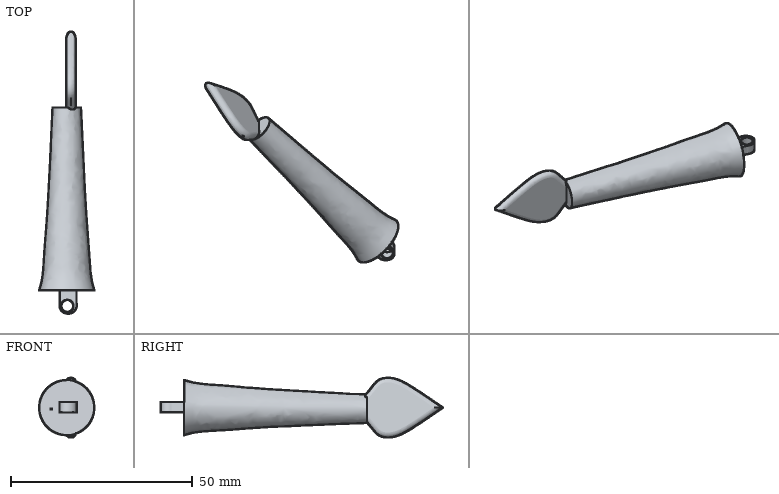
import cadquery as cq
import math

handle_length = 50.45
base_radius = 7.6
neck_radius = 4.0
neck_drop = 0.3
flare_points = [(7.0, 2.3), (6.3, 9.35), (5.6, 18.7), (4.9, 30.4)]

blade_thickness = 2.7
blade_offset_x = 1.2
blade_edge_land = 0.015
blade_edge_radius = (blade_thickness - blade_edge_land) / 2
blade_tip_y = 71.4
blade_peak_y = 55.75
blade_half_height = 8.25
blade_root_y = 49.9
blade_root_half_height = 3.5
blade_front_points = [(68.0, 2.3), (63.3, 5.45)]
blade_shoulder_points = [(54.0, 7.8), (52.1, 6.1)]

lug_length = 6.5
lug_neck_width = 4.7
lug_end_radius = 2.4
lug_thickness = 2.9
lug_x = 0.4
lug_z = 0.15
lug_overlap = 0.8
eye_diameter = 3.3
eye_x = 0.15
eye_y = -4.3

pinhole_diameter = 0.4
pinhole_depth = 0.4
pinhole_x = -4.3
pinhole_z = -0.4


def make_handle():
    """Revolve the flared half profile about Y, then lean it towards -Z."""
    lean_angle = math.degrees(math.atan2(neck_drop, handle_length))
    upright = (
        cq.Workplane("XY")
        .lineTo(base_radius, 0)
        .spline(flare_points + [(neck_radius, handle_length)], includeCurrent=True)
        .lineTo(0, handle_length)
        .close()
        .revolve(360, (0, 0), (0, 1))
    )
    return upright.rotate((0, 0, 0), (1, 0, 0), -lean_angle)


def mirrored(points):
    """Reflect (y, z) points to negative z, in reverse order along the outline."""
    return [(y, -z) for y, z in reversed(points)]


def make_blade():
    """Extrude the leaf outline across X and round both faces' edges."""
    tip = (blade_tip_y, 0)
    peak = (blade_peak_y, blade_half_height)
    root = (blade_root_y, blade_root_half_height)
    upper_edge = blade_front_points + [peak] + blade_shoulder_points + [root]
    lower_edge = mirrored(upper_edge)
    leaf = (
        cq.Workplane("YZ", origin=(blade_offset_x, 0, 0))
        .moveTo(*tip)
        .spline(upper_edge, includeCurrent=True)
        .lineTo(*lower_edge[0])
        .spline(lower_edge[1:] + [tip], includeCurrent=True)
        .close()
        .extrude(blade_thickness / 2, both=True)
    )
    return leaf.faces("<X or >X").edges("not(<Y)").fillet(blade_edge_radius)


def make_lug():
    """Build the eyelet: a straight neck, a round end and a hole along Z."""
    end_y = lug_end_radius - lug_length
    neck_length = lug_overlap - end_y
    bottom = cq.Workplane("XY").workplane(offset=lug_z - lug_thickness / 2)
    neck = (
        bottom.center(lug_x, end_y + neck_length / 2)
        .rect(lug_neck_width, neck_length)
        .extrude(lug_thickness)
    )
    round_end = bottom.center(lug_x, end_y).circle(lug_end_radius).extrude(lug_thickness)
    eye = bottom.center(eye_x, eye_y).circle(eye_diameter / 2).extrude(lug_thickness)
    return neck.union(round_end).cut(eye)


def make_pinhole():
    """Cutter for the pinhole, sunk along +Y from the large end face."""
    return (
        cq.Workplane("XZ")
        .center(pinhole_x, pinhole_z)
        .circle(pinhole_diameter / 2)
        .extrude(-pinhole_depth)
    )


result = make_handle().union(make_blade()).union(make_lug()).cut(make_pinhole())